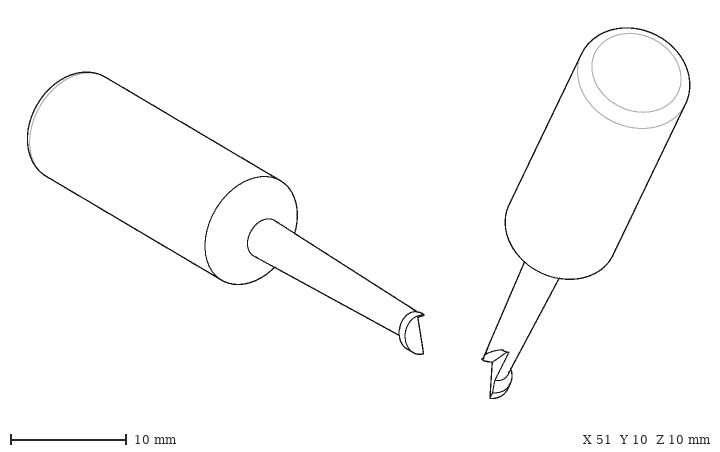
import cadquery as cq

total_length = 51.0
shank_radius = 5.0
shank_fillet = 1.0
shank_end = 26.2
cone_end = 28.05
neck_root_radius = 1.8
neck_tip_radius = 1.3
neck_end = 49.25

head_top = 1.3
head_bottom = -2.05
head_radius = (head_top - head_bottom) / 2
head_center_z = (head_top + head_bottom) / 2
face_top_x = 50.15

ramp_start_x = 44.35
ramp_start_z = -1.2
ramp_end_z = 1.5


def make_body():
    """Shank, shoulder cone and tapered neck as one turned profile."""
    return (
        cq.Workplane("XY")
        .moveTo(0, 0)
        .lineTo(0, shank_radius - shank_fillet)
        .radiusArc((shank_fillet, shank_radius), shank_fillet)
        .lineTo(shank_end, shank_radius)
        .lineTo(cone_end, neck_root_radius)
        .lineTo(neck_end, neck_tip_radius)
        .lineTo(neck_end, 0)
        .close()
        .revolve(360, (0, 0, 0), (1, 0, 0))
    )


def make_head():
    """Eccentric round head with a 45 degree conical back and a sloping front face."""
    length = total_length - neck_end
    disc = (
        cq.Workplane("YZ", origin=(neck_end, 0, head_center_z))
        .circle(head_radius)
        .extrude(length)
    )
    back_cone = (
        cq.Workplane("XY")
        .moveTo(neck_end, 0)
        .lineTo(neck_end, neck_tip_radius)
        .lineTo(total_length, neck_tip_radius + length)
        .lineTo(total_length, 0)
        .close()
        .revolve(360, (0, 0, 0), (1, 0, 0))
    )
    sloped_block = (
        cq.Workplane("XZ")
        .moveTo(neck_end, head_bottom)
        .lineTo(total_length, head_bottom)
        .lineTo(face_top_x, head_top)
        .lineTo(neck_end, head_top)
        .close()
        .extrude(head_radius, both=True)
    )
    return disc.intersect(back_cone).intersect(sloped_block)


def make_chip_gash():
    """Wedge that leaves a flat rake face on the plane Y = 0."""
    return (
        cq.Workplane("XZ")
        .moveTo(ramp_start_x, ramp_start_z)
        .lineTo(total_length, ramp_end_z)
        .lineTo(total_length, head_bottom)
        .lineTo(ramp_start_x, head_bottom)
        .close()
        .extrude(-shank_radius)
    )


result = make_body().union(make_head()).cut(make_chip_gash())